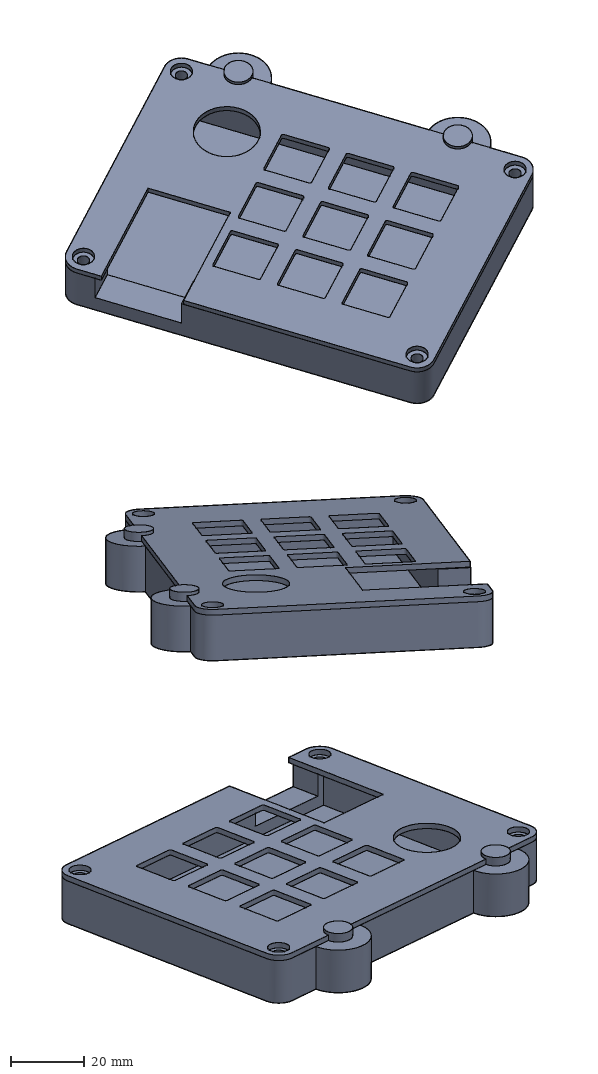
import cadquery as cq

length = 108.0
width = 82.9
case_height = 13.0
plate_thickness = 1.6
corner_radius = 5.0
front_edge = -width / 2
back_edge = width / 2
left_edge = -length / 2

floor_thickness = 1.5
end_wall = 8.0
side_wall = 9.1
cavity_length = length - 2 * end_wall
cavity_width = width - 2 * side_wall

slot_depth = 7.9
slot_left = left_edge + 10.4
slot_length = 25.4

bay_left = left_edge + 12.2
bay_length = 24.2
bay_width = 34.8

screw_inset = 5.0
screw_diameter = 3.3
screw_head_diameter = 6.0
screw_points = [
    (x_side * (length / 2 - screw_inset), y_side * (width / 2 - screw_inset))
    for x_side in (-1, 1)
    for y_side in (-1, 1)
]

key_size = 14.0
key_pitch = 19.0
key_count = 3
key_corner_radius = 0.5
keys_center = (left_edge + 65.0, front_edge + 40.7)
knob_diameter = 18.4
knob_center = (left_edge + 24.6, front_edge + 62.0)

lug_radius = 9.1
pin_diameter = 8.0
pin_height = 2.6
pin_points = [(left_edge + 19.8, back_edge), (left_edge + 84.2, back_edge)]


def rounded_slab(height):
    """Slab with the case outline, standing on Z = 0."""
    slab = cq.Workplane("XY").box(length, width, height, centered=(True, True, False))
    return slab.edges("|Z").fillet(corner_radius)


def cylinders(points, diameter, base, height):
    """Upright cylinders of one size at the given points."""
    base_plane = cq.Workplane("XY").workplane(offset=base)
    return base_plane.pushPoints(points).circle(diameter / 2).extrude(height)


def front_block(left, block_length, block_width, base, height):
    """Block that starts at the front edge, with its left face at the given X."""
    block = cq.Workplane("XY").box(block_length, block_width, height, centered=False)
    return block.translate((left, front_edge, base))


def make_case():
    """Open tray with rear lugs, corner screw holes and a connector slot."""
    lugs = cylinders(pin_points, 2 * lug_radius, 0, case_height)
    cavity = (
        cq.Workplane("XY")
        .box(cavity_length, cavity_width, case_height, centered=(True, True, False))
        .translate((0, 0, floor_thickness))
    )
    slot = front_block(slot_left, slot_length, side_wall, case_height - slot_depth, slot_depth)
    screw_holes = cylinders(screw_points, screw_diameter, 0, case_height)
    return rounded_slab(case_height).union(lugs).cut(cavity).cut(slot).cut(screw_holes)


def make_plate():
    """Top plate with key windows, knob hole, connector bay, screw-head holes and pin notches."""
    windows = (
        cq.Workplane("XY")
        .center(*keys_center)
        .rarray(key_pitch, key_pitch, key_count, key_count)
        .rect(key_size, key_size)
        .extrude(plate_thickness)
        .edges("|Z")
        .fillet(key_corner_radius)
    )
    bay = front_block(bay_left, bay_length, bay_width, 0, plate_thickness)
    knob_hole = cylinders([knob_center], knob_diameter, 0, plate_thickness)
    head_holes = cylinders(screw_points, screw_head_diameter, 0, plate_thickness)
    pin_notches = cylinders(pin_points, pin_diameter, 0, plate_thickness)
    plate = rounded_slab(plate_thickness)
    for opening in (windows, bay, knob_hole, head_holes, pin_notches):
        plate = plate.cut(opening)
    return plate.translate((0, 0, case_height))


def make_pin(point):
    """Round pin that stands on the case top."""
    return cylinders([point], pin_diameter, case_height, pin_height)


case = make_case()
plate = make_plate()
pins = [make_pin(point) for point in pin_points]

result = cq.Compound.makeCompound([case.val(), plate.val(), *[pin.val() for pin in pins]])